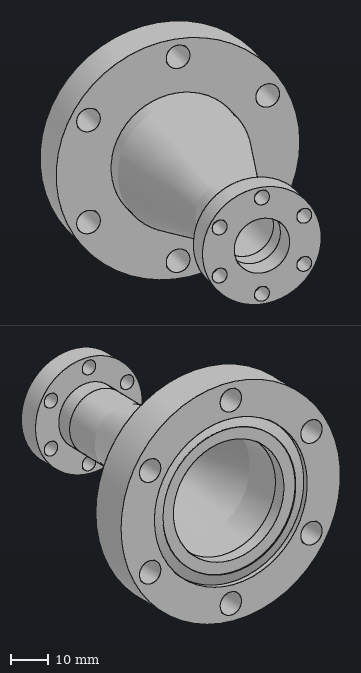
import cadquery as cq

total_length = 78.2
bolt_count = 6

large_flange_diameter = 69.3
large_flange_thickness = 12.75
large_bolt_circle = 58.8
large_bolt_hole = 6.7
recess_diameter = 48.3
recess_depth = 1.7
knife_tip_diameter = 41.9
knife_tip_depth = 0.7
land_depth = 1.1

reducer_start = 5.3
straight_length = 12.75
cone_length = 34.8
large_tube_diameter = 38.1
large_bore = 34.9
small_tube_diameter = 19.1
small_bore = 15.7

small_flange_diameter = 33.8
small_flange_thickness = 7.2
small_bolt_circle = 27.8
small_bolt_hole = 4.2

cone_start = reducer_start + straight_length
cone_end = cone_start + cone_length
reducer_end = cone_end + straight_length
small_flange_start = total_length - small_flange_thickness


def revolve_about_x(profile):
    """Turn a closed list of (x, radius) points about the X axis."""
    return cq.Workplane("XY").polyline(profile).close().revolve(360, (0, 0, 0), (1, 0, 0))


def ring(start, end, outer_diameter, inner_diameter):
    """Plain hollow cylinder along X."""
    return (
        cq.Workplane("YZ", origin=(start, 0, 0))
        .circle(outer_diameter / 2)
        .circle(inner_diameter / 2)
        .extrude(end - start)
    )


def drill_bolt_holes(flange, start, thickness, bolt_circle, hole_diameter):
    """Cut the through holes, the first one directly above the axis."""
    holes = (
        cq.Workplane("YZ", origin=(start, 0, 0))
        .polarArray(bolt_circle / 2, 90, 360, bolt_count)
        .circle(hole_diameter / 2)
        .extrude(thickness)
    )
    return flange.cut(holes)


def make_large_flange():
    """Flange with a recessed knife edge and a socket for the reducer."""
    profile = [
        (0, large_flange_diameter / 2),
        (0, recess_diameter / 2),
        (recess_depth, recess_diameter / 2),
        (knife_tip_depth, knife_tip_diameter / 2),
        (land_depth, knife_tip_diameter / 2),
        (land_depth, large_bore / 2),
        (reducer_start, large_bore / 2),
        (reducer_start, large_tube_diameter / 2),
        (large_flange_thickness, large_tube_diameter / 2),
        (large_flange_thickness, large_flange_diameter / 2),
    ]
    blank = revolve_about_x(profile)
    return drill_bolt_holes(blank, 0, large_flange_thickness, large_bolt_circle, large_bolt_hole)


def make_reducer():
    """Hollow cone with a straight end on each side; its large end sits in the flange socket."""
    return revolve_about_x([
        (reducer_start, large_tube_diameter / 2),
        (cone_start, large_tube_diameter / 2),
        (cone_end, small_tube_diameter / 2),
        (reducer_end, small_tube_diameter / 2),
        (reducer_end, small_bore / 2),
        (cone_end, small_bore / 2),
        (cone_start, large_bore / 2),
        (reducer_start, large_bore / 2),
    ])


def make_tube():
    """Short tube between the reducer and the small flange."""
    return ring(reducer_end, small_flange_start, small_tube_diameter, small_bore)


def make_small_flange():
    """Plain flange closing the small end."""
    blank = ring(small_flange_start, total_length, small_flange_diameter, small_bore)
    return drill_bolt_holes(
        blank, small_flange_start, small_flange_thickness, small_bolt_circle, small_bolt_hole
    )


large_flange = make_large_flange()
reducer = make_reducer()
tube = make_tube()
small_flange = make_small_flange()

result = cq.Compound.makeCompound([
    large_flange.val(),
    reducer.val(),
    tube.val(),
    small_flange.val(),
])